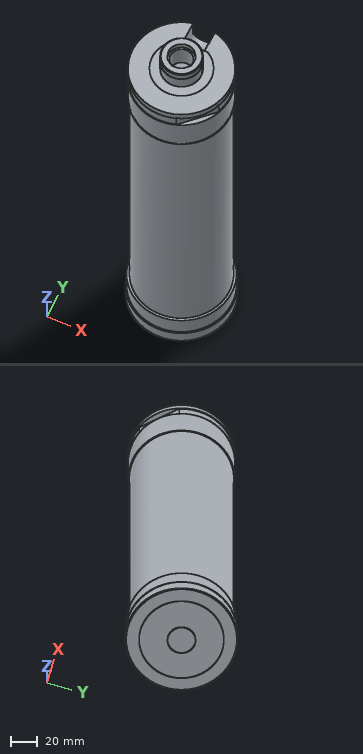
import cadquery as cq
import math

TOTAL_HEIGHT = 350.0

FOOT_DIAMETER = 21.0
FOOT_HEIGHT = 1.0
UNDERSIDE_DIAMETER = 63.5
RIM_BOTTOM_Z = 1.8
RIM_DIAMETER = 84.0
RIM_TOP_Z = 14.5
RIM_CHAMFER = 0.7
COLLAR_DIAMETER = 82.2
COLLAR_TOP_Z = 30.8

TUBE_DIAMETER = 78.0
LIP_DIAMETER = 79.5
LIP_BOTTOM_Z = 287.7
LIP_TOP_Z = 289.8
HEAD_DIAMETER = 80.0
HEAD_BOTTOM_Z = 292.0
HEAD_TOP_Z = 332.0

GROOVE_DIAMETER = 79.5
GROOVE_BOTTOM_Z = 316.5
GROOVE_TOP_Z = 326.2
GROOVE_SIDE_SLOPE = 0.7
FLAT_DISTANCE = 36.0
FLAT_ANGLE = -45.0

SLOT_WIDTH = 18.0
SLOT_CORNER_RADIUS = 8.5
SLOT_FLOOR_Z = 310.8

PLUG_DIAMETER = 48.0
PLUG_FLAT_Y = 21.0
PLUG_BOTTOM_Z = SLOT_FLOOR_Z
SPIGOT_DIAMETER = 32.2
SPIGOT_GROOVE_DIAMETER = 32.0
SPIGOT_CHAMFER = 0.7
UPPER_GROOVE_BOTTOM_Z = 340.5
UPPER_GROOVE_TOP_Z = 343.5
LOWER_GROOVE_TOP_Z = 335.3
SPIGOT_GROOVE_SLOPE = 1.0
COUNTERBORE_DIAMETER = 21.0
COUNTERBORE_DEPTH = 5.0
BORE_DIAMETER = 18.0
BORE_DEPTH = 24.5
BORE_TIP_ANGLE = 118.0


def cylinder(diameter, bottom_z, top_z):
    """Upright cylinder on the Z axis."""
    return cq.Workplane("XY").workplane(offset=bottom_z).circle(diameter / 2).extrude(top_z - bottom_z)


def revolve_profile(points):
    """Solid of revolution about Z from (radius, z) points."""
    return cq.Workplane("XZ").polyline(points).close().revolve(360, (0, 0), (0, 1))


def ring_groove(outer_diameter, floor_diameter, bottom_z, top_z, bottom_slope=0.0, top_slope=0.0):
    """Ring to remove from a cylinder; each slope is the height of that sloping groove side."""
    floor_radius = floor_diameter / 2
    outer_radius = outer_diameter / 2
    return revolve_profile([
        (outer_radius, bottom_z),
        (floor_radius, bottom_z + bottom_slope),
        (floor_radius, top_z - top_slope),
        (outer_radius, top_z),
    ])


def plug_blank():
    """Plug with its flat on the +Y side; also the shape of its socket."""
    plug = cylinder(PLUG_DIAMETER, PLUG_BOTTOM_Z, HEAD_TOP_Z)
    beyond_flat = (
        cq.Workplane("XY")
        .workplane(offset=PLUG_BOTTOM_Z)
        .center(0, PLUG_FLAT_Y + PLUG_DIAMETER / 2)
        .rect(PLUG_DIAMETER, PLUG_DIAMETER)
        .extrude(HEAD_TOP_Z - PLUG_BOTTOM_Z)
    )
    return plug.cut(beyond_flat)


def cartridge_blank():
    """Base cap, tube and head turned as one stepped profile."""
    rim_radius = RIM_DIAMETER / 2
    return revolve_profile([
        (0, 0),
        (FOOT_DIAMETER / 2, 0),
        (FOOT_DIAMETER / 2, FOOT_HEIGHT),
        (UNDERSIDE_DIAMETER / 2, FOOT_HEIGHT),
        (UNDERSIDE_DIAMETER / 2, RIM_BOTTOM_Z),
        (rim_radius - RIM_CHAMFER, RIM_BOTTOM_Z),
        (rim_radius, RIM_BOTTOM_Z + RIM_CHAMFER),
        (rim_radius, RIM_TOP_Z - RIM_CHAMFER),
        (rim_radius - RIM_CHAMFER, RIM_TOP_Z),
        (COLLAR_DIAMETER / 2, RIM_TOP_Z),
        (COLLAR_DIAMETER / 2, COLLAR_TOP_Z),
        (TUBE_DIAMETER / 2, COLLAR_TOP_Z),
        (TUBE_DIAMETER / 2, LIP_BOTTOM_Z),
        (LIP_DIAMETER / 2, LIP_BOTTOM_Z),
        (LIP_DIAMETER / 2, LIP_TOP_Z),
        (HEAD_DIAMETER / 2, HEAD_BOTTOM_Z),
        (HEAD_DIAMETER / 2, HEAD_TOP_Z),
        (0, HEAD_TOP_Z),
    ])


def locking_flat():
    """Block that cuts the flat into the floor of the locking groove."""
    return (
        cq.Workplane("XY")
        .workplane(offset=GROOVE_BOTTOM_Z)
        .center(FLAT_DISTANCE + HEAD_DIAMETER / 2, 0)
        .rect(HEAD_DIAMETER, HEAD_DIAMETER)
        .extrude(GROOVE_TOP_Z - GROOVE_BOTTOM_Z)
        .rotate((0, 0, 0), (0, 0, 1), FLAT_ANGLE)
    )


def head_slot():
    """Slot from the plug flat out through the +Y side, with rounded floor corners."""
    length = HEAD_DIAMETER / 2
    return (
        cq.Workplane("XY")
        .workplane(offset=SLOT_FLOOR_Z)
        .center(0, PLUG_FLAT_Y + length / 2)
        .rect(SLOT_WIDTH, length)
        .extrude(HEAD_TOP_Z - SLOT_FLOOR_Z)
        .edges("|Y and <Z")
        .fillet(SLOT_CORNER_RADIUS)
    )


def make_cartridge():
    groove = ring_groove(
        HEAD_DIAMETER,
        GROOVE_DIAMETER,
        GROOVE_BOTTOM_Z,
        GROOVE_TOP_Z,
        bottom_slope=GROOVE_SIDE_SLOPE,
        top_slope=GROOVE_SIDE_SLOPE,
    )
    return (
        cartridge_blank()
        .cut(groove)
        .cut(locking_flat())
        .cut(head_slot())
        .cut(plug_blank())
    )


def nozzle_bore():
    """Counterbored blind hole with a drill-point end."""
    bore_radius = BORE_DIAMETER / 2
    bore_bottom_z = TOTAL_HEIGHT - BORE_DEPTH
    tip_depth = bore_radius / math.tan(math.radians(BORE_TIP_ANGLE / 2))
    ledge_z = TOTAL_HEIGHT - COUNTERBORE_DEPTH
    return revolve_profile([
        (0, bore_bottom_z - tip_depth),
        (bore_radius, bore_bottom_z),
        (bore_radius, ledge_z),
        (COUNTERBORE_DIAMETER / 2, ledge_z),
        (COUNTERBORE_DIAMETER / 2, TOTAL_HEIGHT),
        (0, TOTAL_HEIGHT),
    ])


def make_nozzle():
    spigot = cylinder(SPIGOT_DIAMETER, HEAD_TOP_Z, TOTAL_HEIGHT).faces(">Z").chamfer(SPIGOT_CHAMFER)
    upper_groove = ring_groove(
        SPIGOT_DIAMETER,
        SPIGOT_GROOVE_DIAMETER,
        UPPER_GROOVE_BOTTOM_Z,
        UPPER_GROOVE_TOP_Z,
        bottom_slope=SPIGOT_GROOVE_SLOPE,
    )
    lower_groove = ring_groove(
        SPIGOT_DIAMETER,
        SPIGOT_GROOVE_DIAMETER,
        HEAD_TOP_Z,
        LOWER_GROOVE_TOP_Z,
        bottom_slope=SPIGOT_GROOVE_SLOPE,
        top_slope=SPIGOT_GROOVE_SLOPE,
    )
    spigot = spigot.cut(upper_groove).cut(lower_groove)
    return plug_blank().union(spigot).cut(nozzle_bore())


cartridge = make_cartridge()
nozzle = make_nozzle()

result = cq.Compound.makeCompound([cartridge.val(), nozzle.val()])